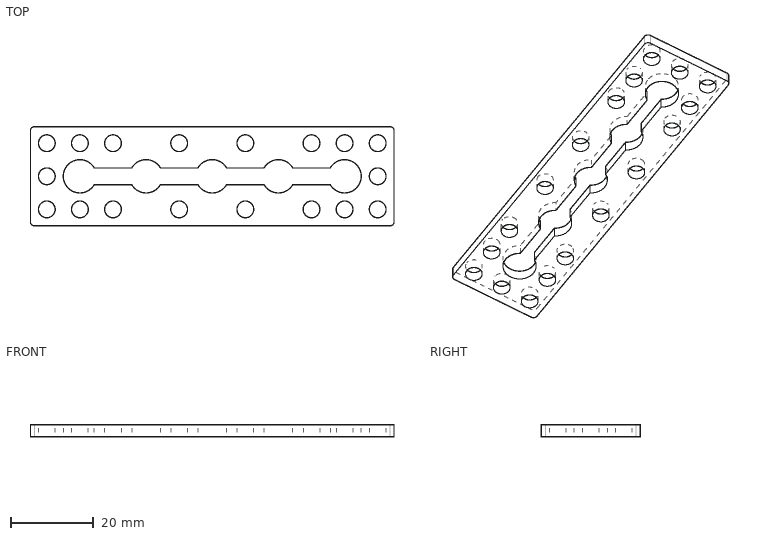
import cadquery as cq

pitch = 8.0
edge_margin = pitch / 2
columns = 11
rows = 3
length = (columns - 1) * pitch + 2 * edge_margin
width = (rows - 1) * pitch + 2 * edge_margin
thickness = 3.0
corner_radius = 1.0

hole_diameter = 4.0
slot_width = 4.0
slot_bore_diameter = 8.0
slot_bore_count = 5
slot_bore_spacing = 2 * pitch

edge_row_columns = (1, 3, 4, 5)
middle_row_columns = (5,)


def make_plate():
    """Flat plate with rounded vertical corners, resting on Z = 0."""
    plate = cq.Workplane("XY").box(length, width, thickness, centered=(True, True, False))
    return plate.edges("|Z").fillet(corner_radius)


def hole_centres():
    """Centres of the small holes, mirrored about both plate axes."""
    centres = []
    for side in (-1, 1):
        for column in edge_row_columns:
            for row in (-1, 1):
                centres.append((side * column * pitch, row * pitch))
        for column in middle_row_columns:
            centres.append((side * column * pitch, 0))
    return centres


def make_holes():
    """Small through holes around the plate border."""
    return cq.Workplane("XY").pushPoints(hole_centres()).circle(hole_diameter / 2).extrude(thickness)


def make_keyed_slot():
    """Central slot joining a row of larger round bores."""
    slot_length = (slot_bore_count - 1) * slot_bore_spacing
    slot = cq.Workplane("XY").rect(slot_length, slot_width).extrude(thickness)
    bores = (
        cq.Workplane("XY")
        .rarray(slot_bore_spacing, 1, slot_bore_count, 1)
        .circle(slot_bore_diameter / 2)
        .extrude(thickness)
    )
    return slot.union(bores)


result = make_plate().cut(make_holes()).cut(make_keyed_slot())